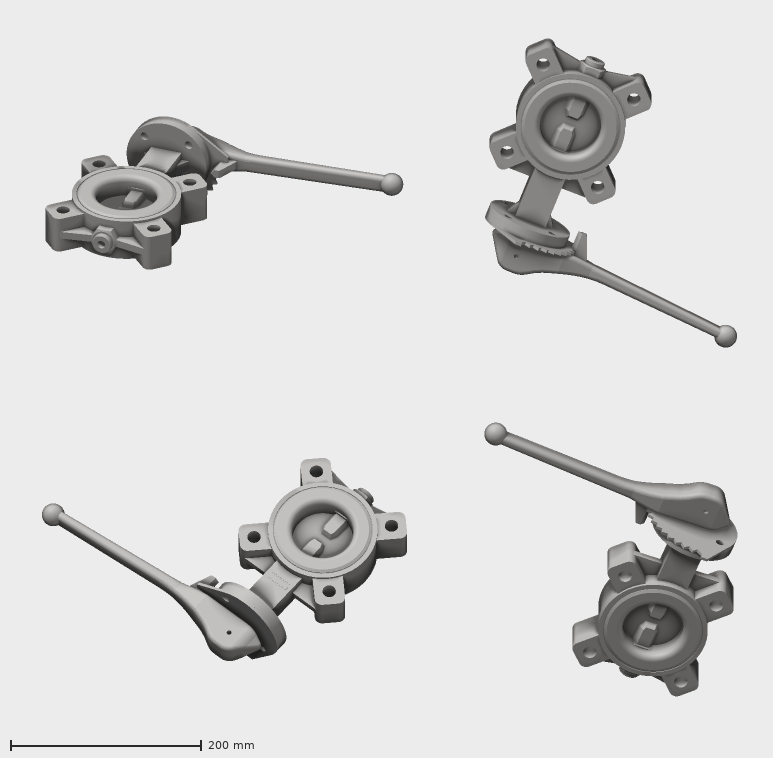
import cadquery as cq
import math

TOLERANCE = 0.003


RING_DIA = 115.0
RING_HEIGHT = 45.5
GROOVE_DIA = 105.0
GROOVE_DEPTH = 1.0
LINER_OUTER_DIA = 103.2
LINER_FACE_DIA = 97.0
LINER_HEIGHT = 48.7
BORE_DIA = 64.0
BORE_LIP_RADIUS = 6.5

LUG_HOLE_OFFSET = 51.3
LUG_HOLE_DIA = 14.0
LUG_REACH = 88.0
LUG_WIDTH = 32.0
LUG_HEIGHT = 39.7
LUG_CORNER_RADIUS = 7.7

WEB_THICKNESS = 8.0
WEB_EDGE_Y = 70.2
WEB_HALF_LENGTH = 50.5
WEB_LOWER_MIDDLE_Y = 61.2
WEB_GAP_REACH = 96.0

NECK_WIDTH = 34.0
NECK_DEPTH = 27.5
FLANGE_DIA = 90.0
FLANGE_BOTTOM_Y = 114.0
FLANGE_TOP_Y = 126.5
FLANGE_HOLE_OFFSET = 25.0
FLANGE_HOLE_DIA = 9.0
FLANGE_HOLE_QUADRANTS = [(1, 1), (-1, 1), (-1, -1), (1, -1)]
GUSSET_REACH = 25.5
GUSSET_HEIGHT = 14.0
GUSSET_THICKNESS = 11.0

PAD_LENGTH = 25.5
PAD_WIDTH = 5.8
PAD_RAISE = 0.3
PAD_CENTRES_Y = (66.0, 73.7)

HEX_FLATS = 27.5
HEX_END_Y = 66.0
HEX_CHAMFER_DIA = 24.7
HEX_CHAMFER_HEIGHT = 1.5
CAP_DIA = 21.0
CAP_END_Y = 71.8
CAP_EDGE_CHAMFER = 0.5
CAP_HOLE_DIA = 9.0
CAP_HOLE_DEPTH = 6.5

DISC_THICKNESS = 4.0
HUB_HEIGHT = 9.0
HUB_OUTER_Y = 35.3
HUB_SHOULDER_Y = 12.0
HUB_TOP_INNER_Y = 7.5
HUB_INNER_Y = 3.5
HUB_RIM_HALF_WIDTH = 12.8
HUB_SHOULDER_HALF_WIDTH = 11.2
HUB_TOP_HALF_WIDTH = 6.5
HUB_TIP_HALF_WIDTH = 4.8
HUB_FILLET = 1.5
SEAT_FLAT_Y = 30.5
SEAT_WIDTH = 27.0
SEAT_HEIGHT = 23.7

PLATE_TOP_Y = 129.8
PLATE_HOLE_QUADRANTS = [(1, 1), (-1, -1)]
NOTCH_ROOT_RADIUS = 52.0
NOTCH_PITCH = 10.0
NOTCH_COUNT = 10
NOTCH_HALF_WIDTH = 4.5
STOP_REACH = 64.0
STOP_WIDTH = 6.7
STEM_DIA = 9.0

HEAD_BOTTOM_Y = 132.0
HEAD_TOP_Y = 173.0
HEAD_WIDTH = 28.2
HEAD_TOP_HALF_LENGTH = 3.5
HEAD_BROW = (-16.7, 166.0)
HEAD_BACK_POINTS = [(46.8, 156.7), (22.8, 166.0)]
CHIN = (-19.5, 134.0)
NOSE_X = -33.5
NOSE_Y = 139.7
NOSE_HALF_WIDTH = 2.5
CHEEK_X = -22.8
CHEEK_HALF_WIDTH = 9.5
CHEEK_BULGE_X = -18.0
CHEEK_BULGE_HALF_WIDTH = 12.8
HEAD_SIDE_START_X = -12.2
HEAD_SIDE_END_X = 46.8
NECK_IN_X = 78.8
GRIP_WIDTH = 18.3
GRIP_START_X = 85.2
GRIP_START_BOTTOM_Y = 136.5
GRIP_END_BOTTOM_Y = 151.0
GRIP_TOP_START_X = 100.0
GRIP_START_TOP_Y = 151.0
GRIP_END_TOP_Y = 161.2
HANDLE_EDGE_RADIUS = 4.5
PIVOT_HOLE_DIA = 5.0
PIVOT_HOLE_Y = 154.0
BALL_DIA = 24.0
BALL_X = 237.8
BALL_Y = 156.7

CROSSWISE_LIMIT = 0.95
UPRIGHT_LIMIT = 0.98
END_MARGIN = 0.3

TRIGGER_BOTTOM_Y = 108.3
TRIGGER_BOTTOM_END_X = 62.0
TRIGGER_TOP_END_X = 71.0
TRIGGER_CORNER_RADIUS = 2.5
TRIGGER_ROOT_DEPTH = 4.0


def plane_facing_y(y):
    """Sketch plane at height y, with local x along X, local y along Z and its normal along -Y."""
    return cq.Workplane("XZ", origin=(0, y, 0))


def prism_along_y(sketch, length):
    """Extrude a plane_facing_y sketch towards +Y."""
    return sketch.extrude(-length)


def cylinder_along_y(diameter, start_y, end_y):
    return prism_along_y(plane_facing_y(start_y).circle(diameter / 2), end_y - start_y)


def disc_along_z(diameter, height):
    return cq.Workplane("XY").circle(diameter / 2).extrude(height / 2, both=True)


def flange_holes(start_y, end_y, quadrants):
    centres = [(FLANGE_HOLE_OFFSET * x_sign, FLANGE_HOLE_OFFSET * z_sign) for x_sign, z_sign in quadrants]
    sketch = plane_facing_y(start_y).pushPoints(centres).circle(FLANGE_HOLE_DIA / 2)
    return prism_along_y(sketch, end_y - start_y)


def make_lugs():
    lug = (
        cq.Workplane("XY")
        .center(LUG_REACH / 2, 0)
        .rect(LUG_REACH, LUG_WIDTH)
        .extrude(LUG_HEIGHT / 2, both=True)
        .edges("|Z and >X")
        .fillet(LUG_CORNER_RADIUS)
    )
    lugs = cq.Workplane("XY")
    for quarter in range(4):
        lugs = lugs.union(lug.rotate((0, 0, 0), (0, 0, 1), 45 + 90 * quarter))
    return lugs


def make_webs():
    outline = [
        (-WEB_HALF_LENGTH, WEB_EDGE_Y),
        (WEB_HALF_LENGTH, WEB_EDGE_Y),
        (WEB_HALF_LENGTH, -WEB_EDGE_Y),
        (0, -WEB_LOWER_MIDDLE_Y),
        (-WEB_HALF_LENGTH, -WEB_EDGE_Y),
    ]
    webs = cq.Workplane("XY").polyline(outline).close().extrude(WEB_THICKNESS / 2, both=True)
    gap_outline = [(0, 0), (WEB_GAP_REACH, WEB_GAP_REACH), (WEB_GAP_REACH, -WEB_GAP_REACH)]
    side_gap = cq.Workplane("XY").polyline(gap_outline).close().extrude(WEB_THICKNESS, both=True)
    return webs.cut(side_gap).cut(side_gap.mirror("YZ"))


def make_neck():
    neck = (
        cq.Workplane("XY")
        .center(0, FLANGE_BOTTOM_Y / 2)
        .rect(NECK_WIDTH, FLANGE_BOTTOM_Y)
        .extrude(NECK_DEPTH / 2, both=True)
    )
    gusset_outline = [
        (-GUSSET_REACH, FLANGE_BOTTOM_Y),
        (GUSSET_REACH, FLANGE_BOTTOM_Y),
        (NECK_WIDTH / 2, FLANGE_BOTTOM_Y - GUSSET_HEIGHT),
        (-NECK_WIDTH / 2, FLANGE_BOTTOM_Y - GUSSET_HEIGHT),
    ]
    gussets = cq.Workplane("XY").polyline(gusset_outline).close().extrude(GUSSET_THICKNESS / 2, both=True)
    neck = neck.union(gussets)
    for pad_y in PAD_CENTRES_Y:
        pad = cq.Workplane("XY").center(0, pad_y).rect(PAD_LENGTH, PAD_WIDTH)
        neck = neck.union(pad.extrude(NECK_DEPTH / 2 + PAD_RAISE))
    return neck


def make_end_cap():
    hex_corner_dia = HEX_FLATS / math.cos(math.pi / 6)
    hexagon = plane_facing_y(-HEX_END_Y).polygon(6, hex_corner_dia)
    chamfer_width = (hex_corner_dia - HEX_CHAMFER_DIA) / 2
    chamfer_cone = (
        cylinder_along_y(hex_corner_dia, -HEX_END_Y, 0)
        .faces("<Y")
        .chamfer(HEX_CHAMFER_HEIGHT, chamfer_width)
    )
    cap = cylinder_along_y(CAP_DIA, -CAP_END_Y, 0).faces("<Y").chamfer(CAP_EDGE_CHAMFER)
    return cap.union(prism_along_y(hexagon, HEX_END_Y).intersect(chamfer_cone))


def make_ring():
    """Ring with a shallow groove around the liner at both faces."""
    ring = disc_along_z(RING_DIA, RING_HEIGHT)
    groove_floor = disc_along_z(GROOVE_DIA, RING_HEIGHT - 2 * GROOVE_DEPTH)
    groove = disc_along_z(GROOVE_DIA, RING_HEIGHT).cut(groove_floor)
    return ring.cut(groove)


def make_liner():
    face_rise = (LINER_HEIGHT - RING_HEIGHT) / 2
    face_slope_width = (LINER_OUTER_DIA - LINER_FACE_DIA) / 2
    return disc_along_z(LINER_OUTER_DIA, LINER_HEIGHT).faces("|Z").chamfer(face_rise, face_slope_width)


def make_bore():
    """Cavity of the lined bore, with a rounded lip at both faces."""
    radius = BORE_DIA / 2
    half = LINER_HEIGHT / 2
    lip = BORE_LIP_RADIUS
    bend = lip * (1 - math.sqrt(0.5))
    return (
        cq.Workplane("XZ")
        .moveTo(0, -half)
        .lineTo(radius + lip, -half)
        .threePointArc((radius + bend, -half + bend), (radius, -half + lip))
        .lineTo(radius, half - lip)
        .threePointArc((radius + bend, half - bend), (radius + lip, half))
        .lineTo(0, half)
        .close()
        .revolve()
    )


def make_hub():
    """Tapered shaft hub on the +Y, +Z quarter of the disc, running out past the disc rim."""
    base = [
        (-HUB_RIM_HALF_WIDTH, HUB_OUTER_Y),
        (HUB_RIM_HALF_WIDTH, HUB_OUTER_Y),
        (HUB_SHOULDER_HALF_WIDTH, HUB_SHOULDER_Y),
        (HUB_TOP_HALF_WIDTH, HUB_INNER_Y),
        (-HUB_TOP_HALF_WIDTH, HUB_INNER_Y),
        (-HUB_SHOULDER_HALF_WIDTH, HUB_SHOULDER_Y),
    ]
    top = [
        (-HUB_TOP_HALF_WIDTH, HUB_OUTER_Y),
        (HUB_TOP_HALF_WIDTH, HUB_OUTER_Y),
        (HUB_TOP_HALF_WIDTH, HUB_SHOULDER_Y),
        (HUB_TIP_HALF_WIDTH, HUB_TOP_INNER_Y),
        (-HUB_TIP_HALF_WIDTH, HUB_TOP_INNER_Y),
        (-HUB_TOP_HALF_WIDTH, HUB_SHOULDER_Y),
    ]
    return (
        cq.Workplane("XY")
        .polyline(base)
        .close()
        .workplane(offset=HUB_HEIGHT)
        .polyline(top)
        .close()
        .loft(ruled=True)
    )


def make_disc():
    """Disc with two hubs on each face, closing the bore, and the flats that seat the shaft."""
    hub = make_hub()
    blank = disc_along_z(3 * HUB_OUTER_Y, DISC_THICKNESS)
    for one_hub in (hub, hub.mirror("XZ")):
        blank = blank.union(one_hub).union(one_hub.mirror("XY"))
    foot_edges = [
        edge for edge in blank.edges().vals()
        if all(abs(abs(vertex.Z) - DISC_THICKNESS / 2) < TOLERANCE for vertex in edge.Vertices())
        and edge.BoundingBox().xmax < HUB_OUTER_Y
    ]
    blank = blank.newObject(foot_edges).fillet(HUB_FILLET)
    disc = blank.intersect(disc_along_z(BORE_DIA, RING_HEIGHT))

    seat_outer_y = BORE_DIA / 2 + BORE_LIP_RADIUS
    seat_depth = seat_outer_y - SEAT_FLAT_Y
    seat = cq.Workplane("XY").box(SEAT_WIDTH, seat_depth, SEAT_HEIGHT)
    for side in (-1, 1):
        disc = disc.union(seat.translate((0, side * (SEAT_FLAT_Y + seat_outer_y) / 2, 0)))
    return disc


def make_valve():
    valve = (
        make_lugs()
        .union(make_webs())
        .union(make_neck())
        .union(make_end_cap())
        .cut(disc_along_z(LINER_OUTER_DIA, RING_HEIGHT))
        .union(make_ring())
        .union(make_liner())
        .cut(make_bore())
        .union(make_disc())
        .union(cylinder_along_y(FLANGE_DIA, FLANGE_BOTTOM_Y, FLANGE_TOP_Y))
        .cut(flange_holes(FLANGE_BOTTOM_Y, FLANGE_TOP_Y, FLANGE_HOLE_QUADRANTS))
        .cut(cylinder_along_y(CAP_HOLE_DIA, -CAP_END_Y, -CAP_END_Y + CAP_HOLE_DEPTH))
    )
    lug_holes = (
        cq.Workplane("XY")
        .rect(2 * LUG_HOLE_OFFSET, 2 * LUG_HOLE_OFFSET, forConstruction=True)
        .vertices()
        .circle(LUG_HOLE_DIA / 2)
        .extrude(LUG_HEIGHT, both=True)
    )
    return valve.cut(lug_holes)


def make_notched_plate():
    """Round plate with a quarter of V notches between two stops, mirrored about the line z = -x."""
    stop_outer_x = -NOTCH_HALF_WIDTH - STOP_WIDTH
    stop_angle = math.atan2(-STOP_REACH, stop_outer_x)
    tangent_swing = math.acos(FLANGE_DIA / 2 / math.hypot(stop_outer_x, STOP_REACH))
    tangent_angle = stop_angle - tangent_swing
    tangent_x = FLANGE_DIA / 2 * math.cos(tangent_angle)
    tangent_z = FLANGE_DIA / 2 * math.sin(tangent_angle)
    first_stop = [
        (tangent_x, tangent_z),
        (stop_outer_x, -STOP_REACH),
        (-NOTCH_HALF_WIDTH, -STOP_REACH),
        (-NOTCH_HALF_WIDTH, -NOTCH_ROOT_RADIUS - NOTCH_HALF_WIDTH),
    ]
    last_stop = [(-z, -x) for x, z in reversed(first_stop)]

    half_pitch = math.radians(NOTCH_PITCH / 2)
    tip_radius = NOTCH_ROOT_RADIUS / (math.cos(half_pitch) - math.sin(half_pitch))
    teeth = []
    for step in range(2 * NOTCH_COUNT - 1):
        radius = NOTCH_ROOT_RADIUS if step % 2 == 0 else tip_radius
        angle = step * half_pitch
        teeth.append((radius * math.sin(angle), -radius * math.cos(angle)))

    thickness = PLATE_TOP_Y - FLANGE_TOP_Y
    sector = plane_facing_y(FLANGE_TOP_Y).polyline([*first_stop, *teeth, *last_stop, (0, 0)]).close()
    plate = cylinder_along_y(FLANGE_DIA, FLANGE_TOP_Y, PLATE_TOP_Y)
    plate = plate.union(prism_along_y(sector, thickness))
    return plate.cut(flange_holes(FLANGE_TOP_Y, PLATE_TOP_Y, PLATE_HOLE_QUADRANTS))


def runs_along_lever(edge):
    """True for the nose edge and every edge that is neither crosswise, upright nor inside the ball."""
    middle = edge.Center()
    direction = edge.tangentAt(0.5)
    if middle.x > BALL_X - END_MARGIN:
        return False
    if middle.x < NOSE_X + END_MARGIN:
        return True
    return abs(direction.z) < CROSSWISE_LIMIT and abs(direction.y) < UPRIGHT_LIMIT


def make_lever():
    """Head and grip: the side outline crossed with the plan outline, then rounded all along."""
    half_head = HEAD_WIDTH / 2
    half_grip = GRIP_WIDTH / 2
    grip_top_slope = (GRIP_END_TOP_Y - GRIP_START_TOP_Y) / (BALL_X - GRIP_TOP_START_X)
    grip_bottom_slope = (GRIP_END_BOTTOM_Y - GRIP_START_BOTTOM_Y) / (BALL_X - GRIP_START_X)
    side = (
        cq.Workplane("XY", origin=(0, 0, -half_head))
        .moveTo(HEAD_SIDE_END_X, HEAD_BOTTOM_Y)
        .spline(
            [(GRIP_START_X, GRIP_START_BOTTOM_Y)],
            tangents=[(1, 0), (1, grip_bottom_slope)],
            includeCurrent=True,
        )
        .lineTo(BALL_X, GRIP_END_BOTTOM_Y)
        .lineTo(BALL_X, GRIP_END_TOP_Y)
        .lineTo(GRIP_TOP_START_X, GRIP_START_TOP_Y)
        .spline(
            [*HEAD_BACK_POINTS, (HEAD_TOP_HALF_LENGTH, HEAD_TOP_Y)],
            tangents=[(-1, -grip_top_slope), (-1, 0)],
            includeCurrent=True,
        )
        .lineTo(-HEAD_TOP_HALF_LENGTH, HEAD_TOP_Y)
        .tangentArcPoint(HEAD_BROW, relative=False)
        .lineTo(NOSE_X, NOSE_Y)
        .threePointArc(CHIN, (-STEM_DIA / 2, HEAD_BOTTOM_Y))
        .close()
        .extrude(HEAD_WIDTH)
    )
    plan = (
        plane_facing_y(HEAD_BOTTOM_Y)
        .moveTo(NOSE_X, -NOSE_HALF_WIDTH)
        .lineTo(CHEEK_X, -CHEEK_HALF_WIDTH)
        .threePointArc((CHEEK_BULGE_X, -CHEEK_BULGE_HALF_WIDTH), (HEAD_SIDE_START_X, -half_head))
        .lineTo(HEAD_SIDE_END_X, -half_head)
        .lineTo(NECK_IN_X, -half_grip)
        .lineTo(BALL_X, -half_grip)
        .lineTo(BALL_X, half_grip)
        .lineTo(NECK_IN_X, half_grip)
        .lineTo(HEAD_SIDE_END_X, half_head)
        .lineTo(HEAD_SIDE_START_X, half_head)
        .threePointArc((CHEEK_BULGE_X, CHEEK_BULGE_HALF_WIDTH), (CHEEK_X, CHEEK_HALF_WIDTH))
        .lineTo(NOSE_X, NOSE_HALF_WIDTH)
        .close()
    )
    lever = side.intersect(prism_along_y(plan, HEAD_TOP_Y - HEAD_BOTTOM_Y))
    rounded_edges = [edge for edge in lever.edges().vals() if runs_along_lever(edge)]
    return lever.newObject(rounded_edges).fillet(HANDLE_EDGE_RADIUS)


def make_trigger():
    """Pawl that fills the last notch of the plate."""
    tip_x = NOTCH_ROOT_RADIUS
    top_y = HEAD_BOTTOM_Y + TRIGGER_ROOT_DEPTH
    side = (
        cq.Workplane("XY")
        .polyline([
            (tip_x, TRIGGER_BOTTOM_Y),
            (TRIGGER_BOTTOM_END_X, TRIGGER_BOTTOM_Y),
            (TRIGGER_TOP_END_X, HEAD_BOTTOM_Y),
            (TRIGGER_TOP_END_X, top_y),
            (tip_x, top_y),
        ])
        .close()
        .extrude(NOTCH_HALF_WIDTH, both=True)
        .edges(cq.selectors.NearestToPointSelector((TRIGGER_BOTTOM_END_X, TRIGGER_BOTTOM_Y, 0)))
        .fillet(TRIGGER_CORNER_RADIUS)
    )
    plan = (
        plane_facing_y(TRIGGER_BOTTOM_Y)
        .polyline([
            (tip_x, 0),
            (tip_x + NOTCH_HALF_WIDTH, NOTCH_HALF_WIDTH),
            (TRIGGER_TOP_END_X, NOTCH_HALF_WIDTH),
            (TRIGGER_TOP_END_X, -NOTCH_HALF_WIDTH),
            (tip_x + NOTCH_HALF_WIDTH, -NOTCH_HALF_WIDTH),
        ])
        .close()
    )
    return side.intersect(prism_along_y(plan, top_y - TRIGGER_BOTTOM_Y))


def make_handle():
    ball = cq.Workplane("XY").sphere(BALL_DIA / 2).translate((BALL_X, BALL_Y, 0))
    pivot_hole = (
        cq.Workplane("XY")
        .center(0, PIVOT_HOLE_Y)
        .circle(PIVOT_HOLE_DIA / 2)
        .extrude(HEAD_WIDTH, both=True)
    )
    return (
        make_lever()
        .union(ball)
        .cut(pivot_hole)
        .union(make_trigger())
        .union(cylinder_along_y(STEM_DIA, PLATE_TOP_Y, HEAD_BOTTOM_Y))
        .union(make_notched_plate())
    )


valve = make_valve()
handle = make_handle()
result = cq.Compound.makeCompound([valve.val(), handle.val()])